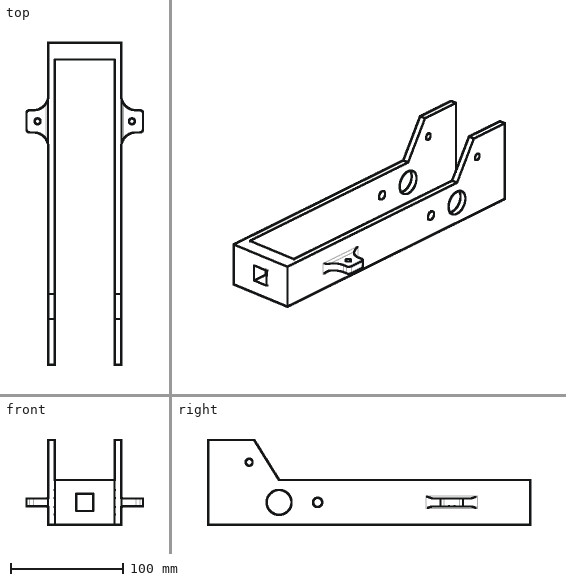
import cadquery as cq
import math

length = 286.93
frame_width = 65.0
wall = 6.0
arm_height = 40.0
cheek_height = 75.74
crossbar_depth = 15.0
window_side = 15.0
mid_height = arm_height / 2

cheek_top_length = 41.0
cheek_base_length = 63.2

pivot_hole = (22.0, cheek_base_length, mid_height)
pin_hole = (8.0, 97.5, mid_height)
cheek_hole = (6.0, 36.5, cheek_height - mid_height)

overall_width = 104.0
lug_y = length - 70.0
lug_width = 20.0
lug_thickness = 7.0
lug_corner_radius = 3.0
lug_flare_radius = 13.0
lug_hole_diameter = 5.0
lug_hole_inset = 10.0
root_fillet = 2.0
outer_face = frame_width / 2
lug_tip = overall_width / 2
lug_embed = wall / 2


def arc_middle(radius):
    """Offset from two perpendicular tangent lines to the middle of the arc between them."""
    return radius * (1 - math.sqrt(0.5))


def side_blank():
    """Side outline of the fork, solid across the full frame width."""
    return (
        cq.Workplane("YZ")
        .polyline([
            (0, 0),
            (length, 0),
            (length, arm_height),
            (cheek_base_length, arm_height),
            (cheek_top_length, cheek_height),
            (0, cheek_height),
        ])
        .close()
        .extrude(outer_face, both=True)
    )


def fork_gap():
    """Open space between the side plates, in front of the crossbar."""
    gap_length = length - crossbar_depth
    return cq.Workplane("XY").box(
        frame_width - 2 * wall, gap_length, cheek_height, centered=(True, False, False)
    )


def crossbar_window():
    """Square opening through the crossbar along Y."""
    return cq.Workplane("XY").box(window_side, crossbar_depth, window_side).translate(
        (0, length - crossbar_depth / 2, mid_height)
    )


def side_hole(diameter, y, z):
    """Cylinder along X that cuts both side plates."""
    return (
        cq.Workplane("YZ")
        .center(y, z)
        .circle(diameter / 2)
        .extrude(outer_face, both=True)
    )


def lug_outline():
    """Plan shape of the +X lug, flared where it meets the side plate, as a tall prism."""
    half = lug_width / 2
    flare_half = half + lug_flare_radius
    flare_end = outer_face + lug_flare_radius
    flare_mid = arc_middle(lug_flare_radius)
    return (
        cq.Workplane("XY")
        .moveTo(outer_face - lug_embed, -flare_half)
        .lineTo(outer_face, -flare_half)
        .threePointArc((outer_face + flare_mid, -half - flare_mid), (flare_end, -half))
        .lineTo(lug_tip, -half)
        .lineTo(lug_tip, half)
        .lineTo(flare_end, half)
        .threePointArc((outer_face + flare_mid, half + flare_mid), (outer_face, flare_half))
        .lineTo(outer_face - lug_embed, flare_half)
        .close()
        .extrude(arm_height)
        .edges("|Z and >X")
        .fillet(lug_corner_radius)
    )


def lug_side_profile():
    """Side shape of the +X lug, with root fillets above and below, as a long prism."""
    half = lug_thickness / 2
    root_half = half + root_fillet
    root_end = outer_face + root_fillet
    root_mid = arc_middle(root_fillet)
    return (
        cq.Workplane("XZ")
        .center(0, mid_height)
        .moveTo(outer_face - lug_embed, -root_half)
        .lineTo(outer_face, -root_half)
        .threePointArc((outer_face + root_mid, -half - root_mid), (root_end, -half))
        .lineTo(lug_tip, -half)
        .lineTo(lug_tip, half)
        .lineTo(root_end, half)
        .threePointArc((outer_face + root_mid, half + root_mid), (outer_face, root_half))
        .lineTo(outer_face - lug_embed, root_half)
        .close()
        .extrude(lug_width / 2 + lug_flare_radius, both=True)
    )


def mounting_lug():
    """Drilled lug for the +X side plate."""
    drill = (
        cq.Workplane("XY")
        .center(lug_tip - lug_hole_inset, 0)
        .circle(lug_hole_diameter / 2)
        .extrude(arm_height)
    )
    return lug_outline().intersect(lug_side_profile()).cut(drill).translate((0, lug_y, 0))


body = side_blank().cut(fork_gap()).cut(crossbar_window())
for hole in (pivot_hole, pin_hole, cheek_hole):
    body = body.cut(side_hole(*hole))
lug = mounting_lug()
result = body.union(lug).union(lug.mirror("YZ"))